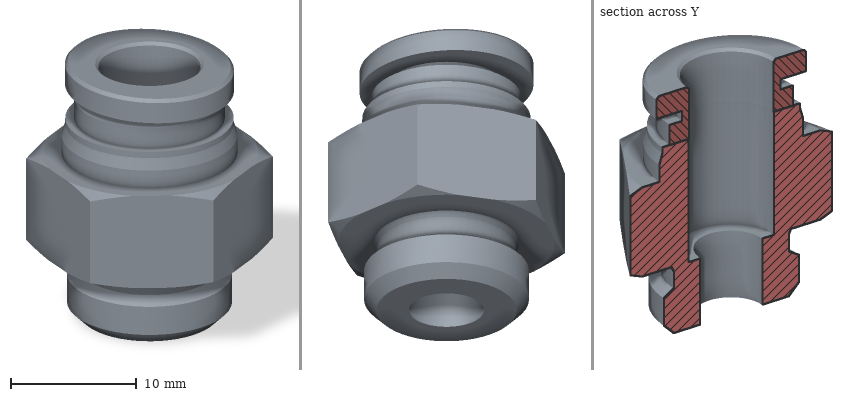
import cadquery as cq
import math

total_height = 21.7
thread_chamfer = 1.0
thread_top = 3.45
groove_bottom = 4.04
groove_top = 5.53
hex_bottom = 5.97
hex_top = 14.0
collar_taper_bottom = 15.52
collar_taper_top = 16.5
collar_top = 17.01
shoulder_top = 18.81
flange_bottom = 19.68

thread_diameter = 13.15
groove_diameter = 11.2
groove_flare_diameter = 11.59
collar_diameter = 14.0
collar_top_diameter = 13.4
passage_diameter = 6.0
tube_socket_diameter = 8.2

hex_across_flats = 17.0
hex_chamfer_diameter = 17.25
hex_chamfer_height = 0.45

shoulder_diameter = 12.0
neck_diameter = 9.6
sleeve_bore_diameter = 8.15
flange_length_x = 14.54
flange_length_y = 13.05
flange_chamfer = 0.25
bore_chamfer = 0.24

hex_across_corners = hex_across_flats / math.cos(math.radians(30))
tube_socket_bottom = hex_bottom


def revolve_profile(points):
    """Turn (diameter, height) points, closed along the Z axis, into a solid of revolution."""
    outline = [(diameter / 2, height) for diameter, height in points]
    closed_outline = [(0, outline[0][1]), *outline, (0, outline[-1][1])]
    return cq.Workplane("XZ").polyline(closed_outline).close().revolve(360, (0, 0, 0), (0, 1, 0))


def cylinder(diameter, bottom, top):
    return cq.Workplane("XY").workplane(offset=bottom).circle(diameter / 2).extrude(top - bottom)


def make_thread_end():
    """Threaded end with a lead-in chamfer and an undercut below the hexagon."""
    return revolve_profile([
        (thread_diameter - 2 * thread_chamfer, 0),
        (thread_diameter, thread_chamfer),
        (thread_diameter, thread_top),
        (groove_diameter, groove_bottom),
        (groove_diameter, groove_top),
        (groove_flare_diameter, hex_bottom),
    ])


def make_hexagon():
    """Wrench hexagon with its corners turned to a cone at both ends."""
    prism = (
        cq.Workplane("XY")
        .workplane(offset=hex_bottom)
        .polygon(6, hex_across_corners)
        .extrude(hex_top - hex_bottom)
    )
    corner_envelope = revolve_profile([
        (hex_chamfer_diameter, hex_bottom),
        (hex_across_corners, hex_bottom + hex_chamfer_height),
        (hex_across_corners, hex_top - hex_chamfer_height),
        (hex_chamfer_diameter, hex_top),
    ])
    return prism.intersect(corner_envelope)


def make_collar():
    """Tapered collar above the hexagon."""
    return revolve_profile([
        (collar_diameter, hex_top),
        (collar_diameter, collar_taper_bottom),
        (collar_top_diameter, collar_taper_top),
        (collar_top_diameter, collar_top),
    ])


def make_housing():
    outside = make_thread_end().union(make_hexagon()).union(make_collar())
    passage = cylinder(passage_diameter, 0, collar_top)
    tube_socket = cylinder(tube_socket_diameter, tube_socket_bottom, collar_top)
    return outside.cut(passage).cut(tube_socket)


def make_release_sleeve():
    """Push-to-release sleeve: a shoulder resting on the collar, then a neck and an elliptical flange."""
    shoulder = cylinder(shoulder_diameter, collar_top, shoulder_top)
    neck = cylinder(neck_diameter, shoulder_top, flange_bottom)
    flange = (
        cq.Workplane("XY")
        .workplane(offset=flange_bottom)
        .ellipse(flange_length_x / 2, flange_length_y / 2)
        .extrude(total_height - flange_bottom)
        .faces(">Z")
        .edges()
        .chamfer(flange_chamfer)
    )
    bore = revolve_profile([
        (sleeve_bore_diameter, collar_top),
        (sleeve_bore_diameter, total_height - bore_chamfer),
        (sleeve_bore_diameter + 2 * bore_chamfer, total_height),
    ])
    return shoulder.union(neck).union(flange).cut(bore)


housing = make_housing()
release_sleeve = make_release_sleeve()

result = cq.Compound.makeCompound([housing.val(), release_sleeve.val()])